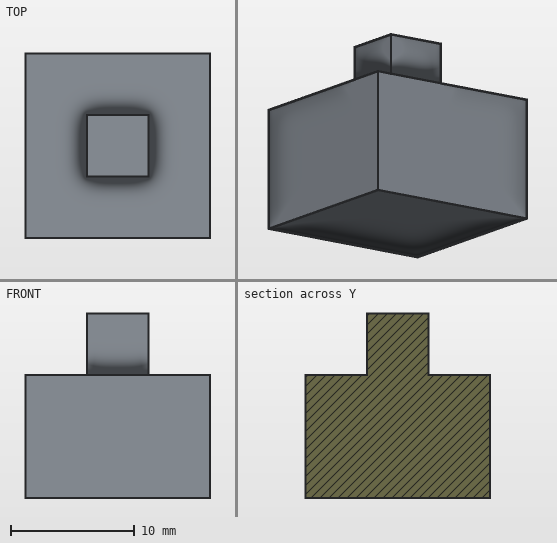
import cadquery as cq

overall_size = 15.0
post_size = overall_size / 3
base_height = overall_size - post_size

base = cq.Workplane("XY").box(
    overall_size, overall_size, base_height, centered=(True, True, False)
)

post = (
    cq.Workplane("XY")
    .workplane(offset=base_height)
    .box(post_size, post_size, post_size, centered=(True, True, False))
)

result = base.union(post)